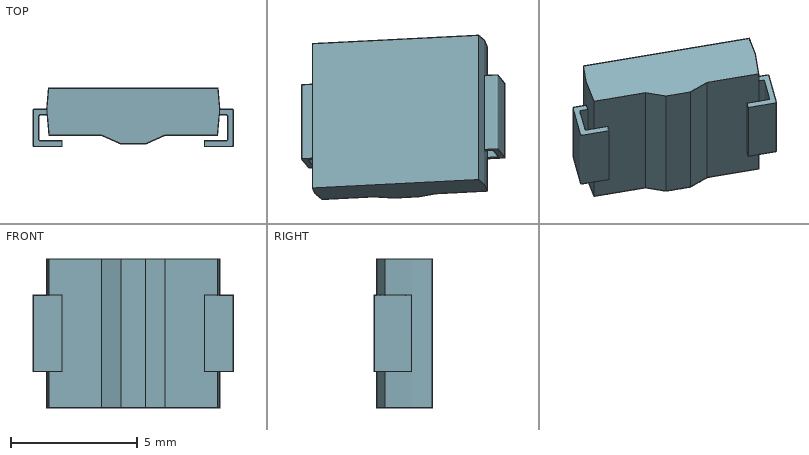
import cadquery as cq

body_height = 5.91
body_half_width_back = 3.36
body_half_width_ridge = 3.43
body_half_width_front = 3.34
body_back_y = 0.0
ridge_y = -0.82
body_front_y = -1.87

pad_projection = 0.34
pad_half_width_base = 2.5 / 2
pad_half_width_crest = 0.98 / 2

terminal_height = 3.03
terminal_thickness = 0.23
terminal_bend_radius = 0.055
terminal_span = 7.94
terminal_depth = 1.48
foot_length = 1.15
overall_depth = 2.31
terminal_embed = 0.15

pad_crest_y = body_front_y - pad_projection
terminal_outer_x = terminal_span / 2
terminal_front_y = body_back_y - overall_depth
terminal_back_y = terminal_front_y + terminal_depth


def make_body():
    """Block with ridged sides and a sloped pad along its front face."""
    right_side = [
        (body_half_width_back, body_back_y),
        (body_half_width_ridge, ridge_y),
        (body_half_width_front, body_front_y),
        (pad_half_width_base, body_front_y),
        (pad_half_width_crest, pad_crest_y),
    ]
    left_side = [(-x, y) for x, y in reversed(right_side)]
    return (
        cq.Workplane("XY")
        .polyline(right_side + left_side)
        .close()
        .extrude(body_height / 2, both=True)
    )


def make_terminal():
    """Strip on the +X side that leaves the body, runs forward and folds in as a foot."""
    inner_x = terminal_outer_x - terminal_thickness
    foot_end_x = terminal_outer_x - foot_length
    root_x = body_half_width_ridge - terminal_embed
    outline = [
        (root_x, terminal_back_y),
        (terminal_outer_x, terminal_back_y),
        (terminal_outer_x, terminal_front_y),
        (foot_end_x, terminal_front_y),
        (foot_end_x, terminal_front_y + terminal_thickness),
        (inner_x, terminal_front_y + terminal_thickness),
        (inner_x, terminal_back_y - terminal_thickness),
        (root_x, terminal_back_y - terminal_thickness),
    ]
    strip = (
        cq.Workplane("XY")
        .polyline(outline)
        .close()
        .extrude(terminal_height / 2, both=True)
    )
    bends = cq.selectors.BoxSelector(
        (inner_x - terminal_thickness, terminal_front_y - terminal_thickness, -terminal_height),
        (terminal_outer_x + terminal_thickness, terminal_back_y + terminal_thickness, terminal_height),
    )
    return strip.edges("|Z").edges(bends).fillet(terminal_bend_radius)


right_terminal = make_terminal()
left_terminal = right_terminal.mirror("YZ")
result = make_body().union(right_terminal).union(left_terminal)